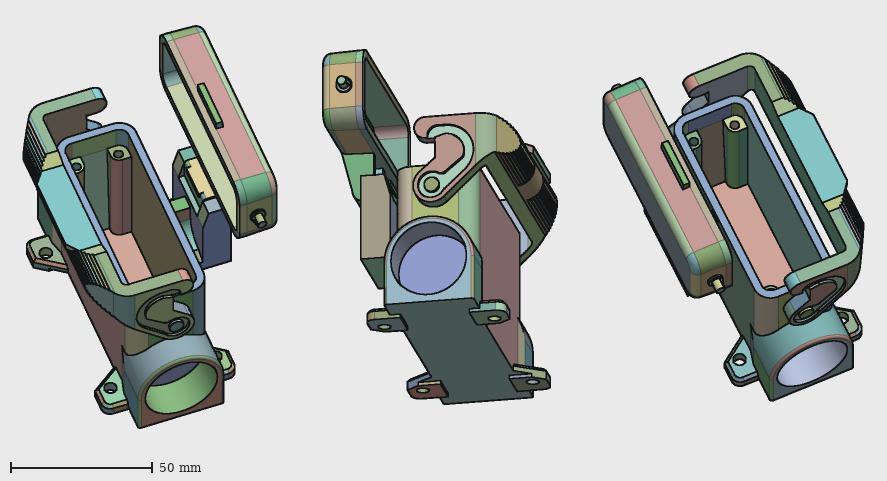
import cadquery as cq
import math


body_half_x = 39.7
body_half_y = 14.8
body_corner = 6.4
body_bottom = 1.3
body_top = 57.0
wall = 3.0
cavity_half_x = body_half_x - wall
cavity_half_y = body_half_y - wall
cavity_corner = body_corner - wall
cavity_floor = body_bottom + wall
wedge_foot_x = 34.4

boss_inner_x = 30.2
boss_inner_y = 5.0
boss_corner = 3.2
boss_top = 47.8
boss_hole_x = 33.0
boss_hole_y = 8.0
boss_hole_radius = 1.6
boss_hole_depth = 8.6

port_end_x = 50.5
port_radius = 16.2
port_axis_z = body_bottom + port_radius
port_bore_radius = 13.6
port_bore_depth = 13.3
port_edge_fillet = 1.0
port_blend_start_x = 35.9
port_blend_end_x = 30.3

foot_outer_x = 40.2
foot_outer_y = 25.1
foot_top = 4.3
foot_edge = 1.2
foot_corner = 3.3
foot_flat_end_x = 30.6
foot_root_x = 23.1
foot_pad_inner_x = 27.3
foot_pad_inner_y = 12.5
foot_hole_x = 32.1
foot_hole_y = 19.9
foot_hole_radius = 2.3

lever_half_x = 45.8
lever_leg = 5.3
lever_inner_x = lever_half_x - lever_leg
lever_inner_y = 18.3
lever_inner_corner = 1.9
lever_top = 73.0
pivot_z = 47.4
pivot_radius = 2.7
lever_eye_radius = 6.7
nose_radius = 4.0
nose_axis_y = 2.4
notch_y = -1.3
notch_bottom_z = 57.5
grip_radius = 7.0
grip_axis_y = -22.1
grip_axis_z = lever_top - grip_radius
corner_start_y = -15.8
corner_radius = 7.8
flank_angle = 30.0

step_count = 9
step_angle = 9.0
badge_half_x = 7.5
saddle_z = 71.0
saddle_bottom_half_x = 18.9
saddle_top_half_x = 24.1
lip_bottom = 68.1
lip_front_y = -30.1
lip_front_half_x = 14.4
lip_back_half_x = 18.9
lip_back_y = -26.6

band_depth = 1.1
band_ring_radius = 4.9
band_axis_y = -4.9
band_axis_z = 59.4
band_outer_radius = 10.2
band_inner_radius = 6.8

cover_half_x = 39.7
cover_bottom = 75.1
cover_top = 104.5
cover_mid_z = (cover_bottom + cover_top) / 2
cover_corner = 6.4
cover_front_y = 25.8
cover_rim = 3.0
cover_rim_dome = 0.3
cover_back_y = 41.2
cover_taper = 2.0
cover_back_fillet = 3.0
cover_pin_y = 32.9
cover_pin_radius = 1.6
cover_pin_end_x = 44.5
cover_collar_radius = 2.8
cover_collar_end_x = 40.4
gusset_end_x = 44.0
gusset_root_y = 30.3
gusset_width = 1.3
tab_half_x = 9.2
part_top = 107.4

hinge_half_x = 15.0
hinge_back_y = 32.2
hinge_front_y = 21.6
hinge_bottom = 33.1
hinge_top = 64.5
hinge_slope_start_z = 56.9
hinge_slope_end_y = 23.7
hinge_foot_y = 17.3
hinge_foot_top = 35.4
hinge_slot_half_x = 9.2
bracket_shoulder_z = 37.4
bracket_key_half_x = 2.7
bracket_key_top = 53.9
bracket_arc_radius = 8.1
bracket_arc_bottom = 39.5
arm_front_y = cover_front_y + cover_rim
arm_opening_half_x = 6.2
flap_top = 65.4
flap_front_y = 23.8
flap_edge = 1.3
latch_front_y = 23.3
latch_bottom = 63.4


def box(x, y, z):
    """Box spanning the three (low, high) ranges."""
    size = [high - low for low, high in (x, y, z)]
    return cq.Workplane("XY").box(*size, centered=False).translate((x[0], y[0], z[0]))


def rounded_box(half_x, half_y, radius, bottom, top):
    """Block centred on Z with rounded upright edges."""
    block = box((-half_x, half_x), (-half_y, half_y), (bottom, top))
    return block.edges("|Z").fillet(radius)


def rod_x(radius, x, y, z):
    """Cylinder along X spanning the (low, high) range x."""
    return cq.Workplane("YZ", origin=(x[0], y, z)).circle(radius).extrude(x[1] - x[0])


def both_sides(shape):
    """Shape together with its mirror image across X = 0."""
    return shape.union(shape.mirror("YZ"))


def four_corners(shape):
    """Shape repeated in all four quadrants."""
    pair = both_sides(shape)
    return pair.union(pair.mirror("XZ"))


def tangent_point(point, centre, radius, side):
    """Where a line from point touches a circle; side is +1 or -1."""
    dy = point[0] - centre[0]
    dz = point[1] - centre[1]
    angle = math.atan2(dz, dy) + side * math.acos(radius / math.hypot(dy, dz))
    return (centre[0] + radius * math.cos(angle), centre[1] + radius * math.sin(angle))


def make_port():
    """Port on the -X side, blending into the long walls of the housing."""
    profile = (
        cq.Workplane("YZ", origin=(-port_end_x, 0, 0))
        .moveTo(-port_radius, body_bottom)
        .lineTo(-port_radius, port_axis_z)
        .threePointArc((0, port_axis_z + port_radius), (port_radius, port_axis_z))
        .lineTo(port_radius, body_bottom)
        .close()
    )
    port = profile.extrude(port_end_x - port_blend_end_x)
    port = port.faces("<X").edges("not <Z").fillet(port_edge_fillet)
    blend = [
        (-port_end_x, port_radius),
        (-port_blend_start_x, port_radius),
        (-port_blend_end_x, body_half_y),
    ]
    mirrored = [(x, -y) for x, y in reversed(blend)]
    plan = cq.Workplane("XY").polyline(blend + mirrored).close().extrude(lever_top)
    return port.intersect(plan)


def make_foot():
    """Mounting foot in the +X +Y quadrant."""
    outline = [
        (foot_outer_x, foot_pad_inner_y),
        (foot_outer_x, foot_outer_y),
        (foot_flat_end_x, foot_outer_y),
        (foot_root_x, body_half_y),
        (foot_root_x, foot_pad_inner_y),
    ]
    foot = cq.Workplane("XY").polyline(outline).close().extrude(foot_top)
    foot = foot.edges("|Z and >X and >Y").fillet(foot_corner)
    foot = foot.faces(">Z").edges("not <Y").chamfer(foot_edge)
    clearance = box((0, foot_pad_inner_x), (0, foot_outer_y), (0, body_bottom))
    hole = cq.Workplane("XY").center(foot_hole_x, foot_hole_y).circle(foot_hole_radius).extrude(foot_top)
    return foot.cut(clearance).cut(hole)


def make_boss():
    """Screw boss in the +X +Y corner of the cavity."""
    overlap = wall / 2
    boss = box(
        (boss_inner_x, cavity_half_x + overlap),
        (boss_inner_y, cavity_half_y + overlap),
        (cavity_floor, boss_top),
    )
    boss = boss.edges("|Z and <X and <Y").fillet(boss_corner)
    inside_body = rounded_box(body_half_x, body_half_y, body_corner, body_bottom, body_top)
    hole = (
        cq.Workplane("XY", origin=(boss_hole_x, boss_hole_y, boss_top - boss_hole_depth))
        .circle(boss_hole_radius)
        .extrude(boss_hole_depth)
    )
    return boss.intersect(inside_body).cut(hole)


def make_cavity_wedge():
    """Sloping end wall between the two bosses at +X."""
    outline = [(cavity_half_x, boss_top), (cavity_half_x, cavity_floor), (wedge_foot_x, cavity_floor)]
    wedge = cq.Workplane("XZ").polyline(outline).close()
    return wedge.extrude(boss_inner_y, both=True)


def make_housing():
    housing = rounded_box(body_half_x, body_half_y, body_corner, body_bottom, body_top)
    housing = housing.union(both_sides(make_port()))
    housing = housing.union(four_corners(make_foot()))
    cavity = rounded_box(cavity_half_x, cavity_half_y, cavity_corner, cavity_floor, body_top)
    bore_end_x = port_end_x - port_bore_depth
    bore = rod_x(port_bore_radius, (bore_end_x, port_end_x), 0, port_axis_z)
    housing = housing.cut(cavity).union(four_corners(make_boss())).union(both_sides(make_cavity_wedge()))
    return housing.cut(both_sides(bore))


def lever_side_solid():
    """Side outline of the lever, extruded over its full width."""
    pivot = (0, pivot_z)
    notch_corner = (notch_y, notch_bottom_z)
    grip_bottom = (grip_axis_y, grip_axis_z - grip_radius)
    nose_z = lever_top - nose_radius
    eye_back = tangent_point(notch_corner, pivot, lever_eye_radius, -1)
    eye_front = tangent_point(grip_bottom, pivot, lever_eye_radius, 1)
    profile = (
        cq.Workplane("YZ")
        .moveTo(grip_axis_y, lever_top)
        .lineTo(nose_axis_y, lever_top)
        .threePointArc((nose_axis_y + nose_radius, nose_z), (nose_axis_y, nose_z - nose_radius))
        .lineTo(notch_y, nose_z - nose_radius)
        .lineTo(*notch_corner)
        .lineTo(*eye_back)
        .threePointArc((0, pivot_z - lever_eye_radius), eye_front)
        .lineTo(*grip_bottom)
        .threePointArc((grip_axis_y - grip_radius, grip_axis_z), (grip_axis_y, lever_top))
        .close()
    )
    return profile.extrude(lever_half_x, both=True)


def lever_plan_solid():
    """U-shaped plan of the lever with rounded corners and oblique flanks."""
    turn = math.radians(90 - flank_angle)
    back_y = nose_axis_y + lever_eye_radius
    front_y = grip_axis_y - grip_radius

    def on_corner(angle):
        return (
            lever_half_x - corner_radius * (1 - math.cos(angle)),
            corner_start_y - corner_radius * math.sin(angle),
        )

    corner_end = on_corner(turn)
    flank_end_x = corner_end[0] - (corner_end[1] - front_y) / math.tan(math.radians(flank_angle))
    half = (
        cq.Workplane("XY")
        .moveTo(0, back_y)
        .lineTo(lever_half_x, back_y)
        .lineTo(lever_half_x, corner_start_y)
        .threePointArc(on_corner(turn / 2), corner_end)
        .lineTo(flank_end_x, front_y)
        .lineTo(0, front_y)
        .close()
        .extrude(lever_top)
    )
    opening = box((-lever_inner_x, lever_inner_x), (-lever_inner_y, back_y), (0, lever_top))
    opening = opening.edges("|Z and <Y").fillet(lever_inner_corner)
    return both_sides(half).cut(opening)


def grip_steps():
    """Fine steps cut into the rounded grip, either side of the smooth badge patch."""
    steps = cq.Workplane("XY")
    for index in range(step_count):
        low_angle = math.radians(index * step_angle)
        high_angle = math.radians((index + 1) * step_angle)
        low = grip_radius * math.sin(low_angle)
        high = grip_radius * math.sin(high_angle)
        reach = grip_radius * math.cos(high_angle)
        step = box((badge_half_x, lever_half_x), (-grip_radius, -reach), (low, high))
        steps = steps.add(step).add(step.mirror("XY"))
    steps = steps.combine().translate((0, grip_axis_y, grip_axis_z))
    return both_sides(steps)


def grip_saddle():
    """Shallow dip in the middle of the grip's top face."""
    outline = [
        (-saddle_top_half_x, lever_top),
        (-saddle_bottom_half_x, saddle_z),
        (saddle_bottom_half_x, saddle_z),
        (saddle_top_half_x, lever_top),
    ]
    saddle = cq.Workplane("XZ", origin=(0, -lever_inner_y, 0)).polyline(outline).close()
    return saddle.extrude(-lip_front_y - lever_inner_y)


def grip_lip():
    """Finger lip along the front of the saddle."""
    outline = [
        (-lip_back_half_x, -lever_inner_y),
        (-lip_back_half_x, lip_back_y),
        (-lip_front_half_x, lip_front_y),
        (lip_front_half_x, lip_front_y),
        (lip_back_half_x, lip_back_y),
        (lip_back_half_x, -lever_inner_y),
    ]
    lip = cq.Workplane("XY", origin=(0, 0, lip_bottom)).polyline(outline).close()
    return lip.extrude(saddle_z - lip_bottom)


def lever_band():
    """Recess in the +X face of the lever: a curved band running into a ring round the pivot."""

    def on_arc(radius, degrees):
        angle = math.radians(degrees)
        return (band_axis_y - radius * math.cos(angle), band_axis_z + radius * math.sin(angle))

    nose_bottom_z = lever_top - 2 * nose_radius
    tail_corner = (-4.4, 51.4)
    tail_on_ring = (-1.9, 51.4)
    tail_low = (-4.8, 45.4)
    mouth_outer_y = 1.5
    mouth_bend = (0.6, 68.3)
    mouth_bend_end_y = -2.1
    band = (
        cq.Workplane("YZ", origin=(lever_half_x - band_depth, 0, 0))
        .moveTo(mouth_outer_y, nose_bottom_z)
        .threePointArc(mouth_bend, (mouth_bend_end_y, band_axis_z + band_outer_radius))
        .lineTo(*on_arc(band_outer_radius, 90))
        .threePointArc(on_arc(band_outer_radius, 20), on_arc(band_outer_radius, -45))
        .lineTo(*tail_low)
        .lineTo(0, pivot_z)
        .lineTo(*tail_on_ring)
        .lineTo(*tail_corner)
        .lineTo(*on_arc(band_inner_radius, -20))
        .threePointArc(on_arc(band_inner_radius, 35), on_arc(band_inner_radius, 90))
        .lineTo(notch_y, nose_bottom_z)
        .close()
        .extrude(band_depth)
    )
    depth_range = (lever_half_x - band_depth, lever_half_x)
    return band.union(rod_x(band_ring_radius, depth_range, 0, pivot_z))


def make_lever():
    lever = lever_side_solid().cut(grip_steps()).intersect(lever_plan_solid())
    lever = lever.cut(grip_saddle()).union(grip_lip())
    lever = lever.cut(both_sides(lever_band()))
    pivot = rod_x(pivot_radius, (body_half_x - wall / 2, lever_half_x), 0, pivot_z)
    return lever.union(both_sides(pivot))


def make_cover():
    """Open cover standing upright, its hollow side facing -Y."""
    height = cover_top - cover_bottom
    rim_base_y = cover_front_y + cover_rim_dome
    mouth = cq.Workplane("XZ", origin=(0, rim_base_y, cover_mid_z))
    rim = mouth.sketch().rect(2 * cover_half_x, height).vertices().fillet(cover_corner).finalize()
    rim = rim.extrude(rim_base_y - arm_front_y)
    shell = (
        cq.Workplane("XZ", origin=(0, arm_front_y, cover_mid_z))
        .sketch()
        .rect(2 * cover_half_x, height)
        .vertices()
        .fillet(cover_corner)
        .finalize()
        .extrude(arm_front_y - cover_back_y, taper=cover_taper)
        .faces(">Y")
        .edges()
        .fillet(cover_back_fillet)
    )
    hollow = (
        mouth.sketch()
        .rect(2 * (cover_half_x - cover_rim), height - 2 * cover_rim)
        .vertices()
        .fillet(cover_corner - cover_rim)
        .finalize()
        .extrude(rim_base_y - cover_back_y + cover_rim)
    )
    shell = rim.union(shell).cut(hollow)
    return shell.union(rim_dome()).union(both_sides(cover_pin())).union(cover_tab())


def rim_dome():
    """Shallow convex bead running round the front of the cover rim."""
    base_y = cover_front_y + cover_rim_dome
    path_half_x = cover_half_x - cover_rim / 2
    path_half_z = (cover_top - cover_bottom - cover_rim) / 2
    path_corner = cover_corner - cover_rim / 2
    straight_x = path_half_x - path_corner
    straight_z = path_half_z - path_corner
    bulge = path_corner * math.sqrt(0.5)
    path = (
        cq.Workplane("XZ", origin=(0, base_y, cover_mid_z))
        .moveTo(0, path_half_z)
        .lineTo(straight_x, path_half_z)
        .threePointArc((straight_x + bulge, straight_z + bulge), (path_half_x, straight_z))
        .lineTo(path_half_x, -straight_z)
        .threePointArc((straight_x + bulge, -straight_z - bulge), (straight_x, -path_half_z))
        .lineTo(0, -path_half_z)
    )
    profile = (
        cq.Workplane("YZ")
        .moveTo(base_y, cover_top)
        .threePointArc((cover_front_y, cover_top - cover_rim / 2), (base_y, cover_top - cover_rim))
        .close()
    )
    return both_sides(profile.sweep(path))


def cover_pin():
    """Locking pin on the +X end of the cover, with a collar and a small gusset."""
    root_x = cover_half_x - cover_rim / 2
    pin = rod_x(cover_pin_radius, (root_x, cover_pin_end_x), cover_pin_y, cover_mid_z)
    collar = rod_x(cover_collar_radius, (root_x, cover_collar_end_x), cover_pin_y, cover_mid_z)
    outline = [
        (root_x, cover_pin_y),
        (root_x, gusset_root_y),
        (cover_collar_end_x, gusset_root_y),
        (gusset_end_x, cover_pin_y - cover_pin_radius),
        (gusset_end_x, cover_pin_y),
    ]
    gusset = cq.Workplane("XY", origin=(0, 0, cover_mid_z)).polyline(outline).close()
    return pin.union(collar).union(gusset.extrude(gusset_width / 2, both=True))


def cover_tab():
    """Upright tab on the top edge of the cover."""
    tab_top_back_y = 31.1
    tab_root_back_y = 31.7
    root_z = cover_top - cover_rim / 2
    outline = [
        (arm_front_y, root_z),
        (arm_front_y, part_top),
        (tab_top_back_y, part_top),
        (tab_root_back_y, root_z),
    ]
    return cq.Workplane("YZ").polyline(outline).close().extrude(tab_half_x, both=True)


def make_hinge_block():
    """Hinge carrier behind the housing, with a keyed bracket joining the two."""
    outline = [
        (hinge_back_y, hinge_bottom),
        (hinge_back_y, hinge_top),
        (hinge_slope_end_y, hinge_top),
        (hinge_front_y, hinge_slope_start_z),
        (hinge_front_y, bracket_shoulder_z),
        (body_half_y, bracket_shoulder_z),
        (body_half_y, hinge_foot_top),
        (hinge_foot_y, hinge_foot_top),
        (hinge_foot_y, hinge_bottom),
    ]
    block = cq.Workplane("YZ").polyline(outline).close().extrude(hinge_half_x, both=True)
    slot = box(
        (-hinge_slot_half_x, hinge_slot_half_x),
        (hinge_front_y, hinge_back_y),
        (hinge_slope_start_z, hinge_top),
    )
    arc_x = bracket_key_half_x + bracket_arc_radius
    arc_z = bracket_arc_bottom + bracket_arc_radius
    arc_reach = bracket_arc_radius * math.sqrt(0.5)
    half_bracket = (
        cq.Workplane("XZ", origin=(0, hinge_front_y, 0))
        .moveTo(0, hinge_foot_top)
        .lineTo(hinge_half_x, hinge_foot_top)
        .lineTo(hinge_half_x, bracket_shoulder_z)
        .lineTo(arc_x, bracket_arc_bottom)
        .threePointArc((arc_x - arc_reach, arc_z - arc_reach), (bracket_key_half_x, arc_z))
        .lineTo(bracket_key_half_x, bracket_key_top)
        .lineTo(0, bracket_key_top)
        .close()
        .extrude(hinge_front_y - body_half_y)
    )
    return block.cut(slot).union(both_sides(half_bracket))


def make_hinge_arm():
    """Arm from the cover down into the hinge slot, opened between its two legs."""
    arm_top = cover_bottom + cover_rim / 2
    knuckle_back_y = 36.5
    knuckle_z = 61.2
    knuckle_bend = (35.4, 58.6)
    knuckle_bottom_y = 33.3
    knuckle_bottom = 57.5
    arm = (
        cq.Workplane("YZ")
        .moveTo(arm_front_y, arm_top)
        .lineTo(cover_back_y - cover_rim / 4, arm_top)
        .lineTo(knuckle_back_y, knuckle_z)
        .threePointArc(knuckle_bend, (knuckle_bottom_y, knuckle_bottom))
        .lineTo(hinge_back_y, knuckle_bottom)
        .lineTo(hinge_back_y, hinge_slope_start_z)
        .lineTo(flap_front_y, hinge_slope_start_z)
        .lineTo(flap_front_y, flap_top - flap_edge)
        .radiusArc((flap_front_y + flap_edge, flap_top), flap_edge)
        .lineTo(arm_front_y, flap_top)
        .close()
        .extrude(hinge_slot_half_x, both=True)
    )
    opening_floor_end_y = 36.0
    opening_back_y = 39.1
    opening_outline = [
        (arm_front_y, flap_top),
        (arm_front_y, cover_bottom),
        (opening_back_y, cover_bottom),
        (opening_floor_end_y, flap_top),
    ]
    opening = cq.Workplane("YZ").polyline(opening_outline).close()
    opening = opening.extrude(arm_opening_half_x, both=True)
    latch = box(
        (-arm_opening_half_x, arm_opening_half_x),
        (latch_front_y, flap_front_y + flap_edge),
        (latch_bottom, flap_top),
    )
    return arm.cut(opening).union(latch)


result = make_housing().union(make_lever()).union(make_hinge_block())
result = result.union(make_hinge_arm()).union(make_cover())